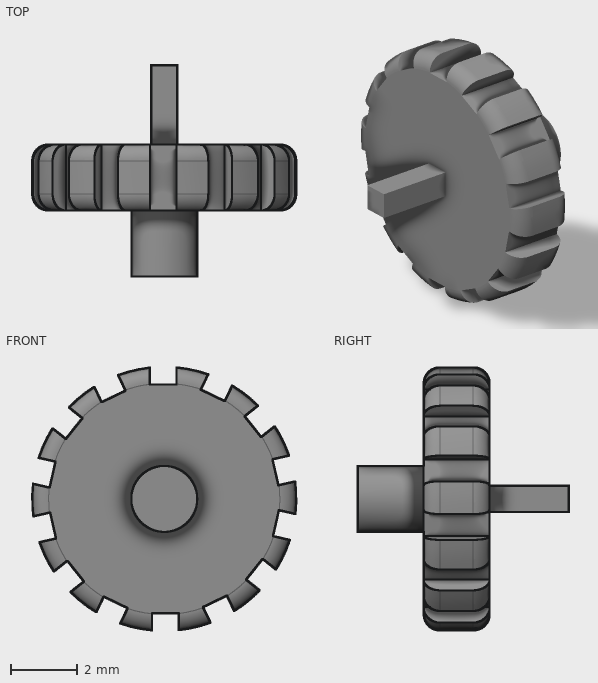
import cadquery as cq

wheel_diameter = 8.0
wheel_width = 2.0
rim_fillet = wheel_width / 4

slot_count = 14
slot_width = 0.8
slot_offset = -0.036
slot_floor_radius = 3.46
slot_outer_radius = wheel_diameter / 2 + rim_fillet

shaft_diameter = 2.0
shaft_length = 2.0
drive_side = 0.8
drive_length = 2.4


def make_wheel():
    """Disc with both rim edges rounded, centred on the origin."""
    disc = cq.Workplane("XZ").circle(wheel_diameter / 2).extrude(wheel_width / 2, both=True)
    return disc.edges("%CIRCLE").fillet(rim_fillet)


def make_slot(angle):
    """Flat-bottomed cutter across the full rim, turned about the wheel axis."""
    depth = slot_outer_radius - slot_floor_radius
    middle_radius = (slot_outer_radius + slot_floor_radius) / 2
    cutter = cq.Workplane("XY").box(slot_width, wheel_width, depth)
    cutter = cutter.translate((slot_offset, 0, middle_radius))
    return cutter.rotate((0, 0, 0), (0, 1, 0), angle)


def make_shaft():
    front_face = cq.Workplane("XZ", origin=(0, -wheel_width / 2, 0))
    return front_face.circle(shaft_diameter / 2).extrude(shaft_length)


def make_drive():
    back_face = cq.Workplane("XZ", origin=(0, wheel_width / 2, 0))
    return back_face.rect(drive_side, drive_side).extrude(-drive_length)


result = make_wheel()
for index in range(slot_count):
    result = result.cut(make_slot(index * 360 / slot_count))
result = result.union(make_shaft()).union(make_drive())